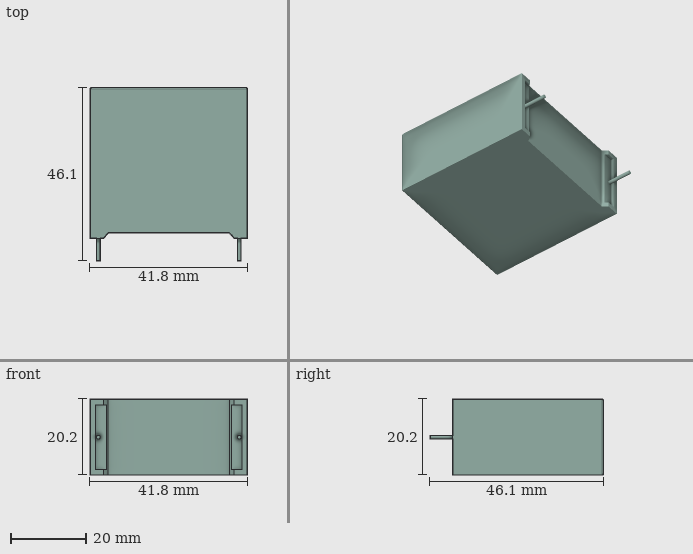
import cadquery as cq

case_width = 41.8
case_height = 20.2
total_length = 46.1
lead_reach = 6.0
case_length = total_length - lead_reach
rear_round = 0.4

foot_height = 1.45
foot_width = 3.55
flank_width = 1.25

pocket_wall = 1.48
pocket_depth = 0.85

lead_diameter = 1.0
lead_pitch = 37.5

half_width = case_width / 2
foot_inner_x = half_width - foot_width
flank_inner_x = foot_inner_x - flank_width
side_signs = (-1, 1)


def make_pocket(side):
    """Block that cuts the pocket of the foot on the given side (-1 or +1)."""
    outer_x = half_width - pocket_wall
    pocket_width = outer_x - flank_inner_x
    pocket_height = case_height - 2 * pocket_wall
    center = (side * (outer_x + flank_inner_x) / 2, pocket_depth / 2, 0)
    return cq.Workplane("XY").box(pocket_width, pocket_depth, pocket_height).translate(center)


def make_case():
    """Case with its two feet, rounded rear edges and foot pockets."""
    outline = [
        (-half_width, case_length),
        (-half_width, 0),
        (-foot_inner_x, 0),
        (-flank_inner_x, foot_height),
        (flank_inner_x, foot_height),
        (foot_inner_x, 0),
        (half_width, 0),
        (half_width, case_length),
    ]
    case = cq.Workplane("XY").polyline(outline).close().extrude(case_height / 2, both=True)
    case = case.faces(">Y").edges().fillet(rear_round)
    for side in side_signs:
        case = case.cut(make_pocket(side))
    return case


def make_lead(side):
    """Straight round lead standing on the pocket floor of the given side."""
    return (
        cq.Workplane("XZ", origin=(side * lead_pitch / 2, pocket_depth, 0))
        .circle(lead_diameter / 2)
        .extrude(pocket_depth + lead_reach)
    )


case = make_case()
leads = [make_lead(side) for side in side_signs]

result = cq.Compound.makeCompound([case.val(), *[lead.val() for lead in leads]])